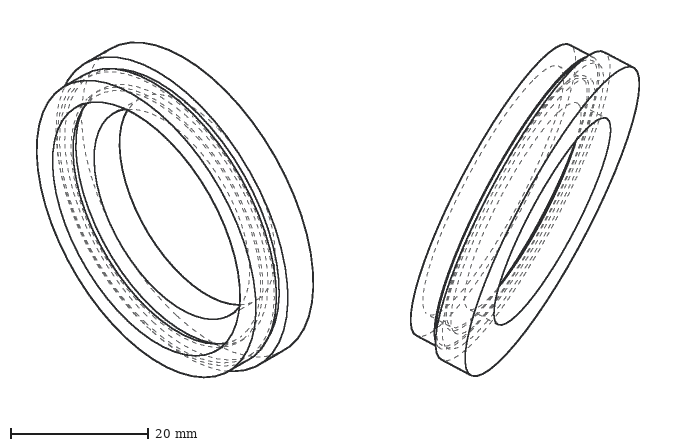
import cadquery as cq

flange_diameter = 50.8
spigot_diameter = 48.0
counterbore_diameter = 41.0
bore_diameter = 34.0

flange_width = 5.0
spigot_width = 4.0

relief_width = 1.0
relief_depth = 0.5
outer_relief_diameter = spigot_diameter - 2 * relief_depth
inner_relief_diameter = counterbore_diameter + 2 * relief_depth

flange_start = spigot_width + relief_width
total_width = flange_start + flange_width


def disc(diameter, start, width):
    """Solid disc on the Y axis, from Y = start to Y = start + width."""
    base = cq.Vector(0, start, 0)
    axis = cq.Vector(0, 1, 0)
    return cq.Workplane(cq.Solid.makeCylinder(diameter / 2, width, base, axis))


def ring_body():
    """Spigot, outer relief and flange stacked along +Y."""
    spigot = disc(spigot_diameter, 0, spigot_width)
    relief_core = disc(outer_relief_diameter, spigot_width, relief_width)
    flange = disc(flange_diameter, flange_start, flange_width)
    return spigot.union(relief_core).union(flange)


def stepped_bore():
    """Through bore with a counterbore at the spigot end and a relief at the counterbore floor."""
    bore = disc(bore_diameter, 0, total_width)
    counterbore = disc(counterbore_diameter, 0, spigot_width)
    relief = disc(inner_relief_diameter, spigot_width, relief_width)
    return bore.union(counterbore).union(relief)


result = ring_body().cut(stepped_bore())